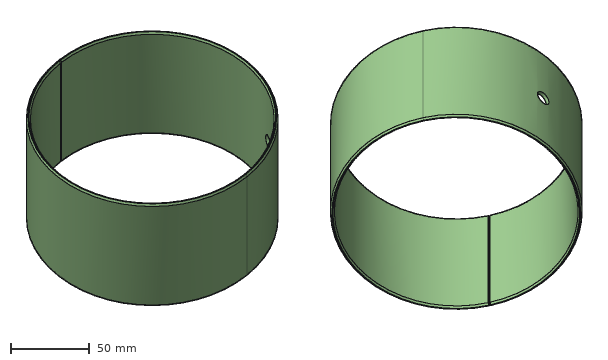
import cadquery as cq

outer_diameter = 160.0
height = 90.0
wall = 2.5
outer_radius = outer_diameter / 2
inner_radius = outer_radius - wall

bevel_height = 1.5
bevel_width = 1.0

slit_width = 1.1

hole_diameter = 10.0
hole_angle = 59.0


def split_sleeve():
    """Revolve the bevelled wall section about Z, then open it with the slit."""
    half_height = height / 2
    section = (
        cq.Workplane("XZ")
        .moveTo(inner_radius, -half_height + bevel_height)
        .lineTo(inner_radius + bevel_width, -half_height)
        .lineTo(outer_radius - bevel_width, -half_height)
        .lineTo(outer_radius, -half_height + bevel_height)
        .lineTo(outer_radius, half_height - bevel_height)
        .lineTo(outer_radius - bevel_width, half_height)
        .lineTo(inner_radius + bevel_width, half_height)
        .lineTo(inner_radius, half_height - bevel_height)
        .close()
    )
    sleeve = section.revolve(360, (0, 0), (0, 1))
    slit = cq.Workplane("XY").box(
        outer_diameter, slit_width, height, centered=(False, False, True)
    )
    return sleeve.cut(slit.translate((-outer_diameter, 0, 0)))


def radial_hole():
    """Cylinder from the axis outwards at mid-height, piercing one side of the wall."""
    cylinder = cq.Workplane("YZ").circle(hole_diameter / 2).extrude(outer_diameter)
    return cylinder.rotate((0, 0, 0), (0, 0, 1), hole_angle)


result = split_sleeve().cut(radial_hole())